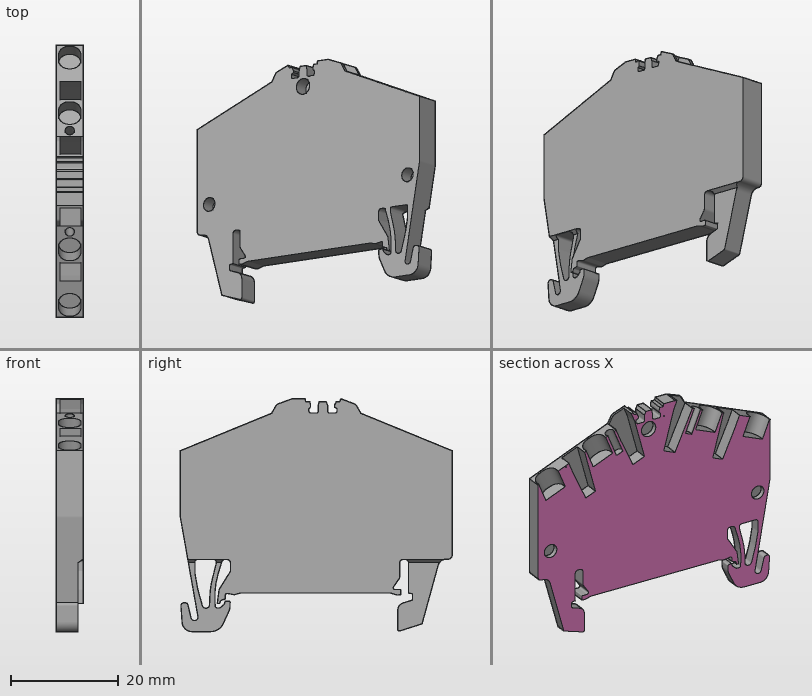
import cadquery as cq
import math

THICKNESS = 5.1
LENGTH = 50.5
HEIGHT = 43.25
BACK_X = -THICKNESS / 2
END_Y = LENGTH / 2

SHOULDER_END_Z = 33.6
SHOULDER_TOP_Y = 8.3
SHOULDER_ANGLE = math.radians(22.3)
SHOULDER_TOP_Z = SHOULDER_END_Z + (END_Y - SHOULDER_TOP_Y) * math.tan(SHOULDER_ANGLE)

CROWN_CORNER_Y = 7.35
CROWN_CORNER_Z = 42.2
CROWN_CORNER_RADIUS = 0.8
LEDGE_Z = 42.7
GROOVE_FLOOR_Z = 40.6
GROOVE_RADIUS = 0.35

BASE_Z = 7.15
FOOT_TOP_Z = 13.45
FOOT_THICKNESS = 4.1
FOOT_CHAMFER_HEIGHT = 0.6
SLOT_TOP_Z = 13.4
SLOT_RADIUS = 0.6

RECESS_DEPTH = 3.0
RECESSES = [
    (1.2, 38.8, 1.5),
    (22.5, 19.05, 1.3),
    (-22.5, 19.05, 1.3),
]

WIRE_HOLE_YS = (22.95, 12.65)
WIRE_HOLE_WIDTH = 4.2
WIRE_HOLE_LENGTH = 4.5
WIRE_HOLE_RADIUS = 1.85
WIRE_HOLE_DEPTH = 4.0

TEST_HOLE_Y = 9.4
TEST_HOLE_DIAMETER = 1.7
TEST_HOLE_DEPTH = 5.0

TOOL_POCKET_X = 0.12
TOOL_POCKET_WIDTH = 3.85
TOOL_POCKET_DEPTH = 9.0
TOOL_POCKET_OUTER_TAPER = math.radians(2.4)
TOOL_POCKET_INNER_TAPER = math.radians(7.3)
OUTER_POCKET = (15.15, 18.5, 0, 2.6)
FIXED_SIDE_CROWN_POCKET = (4.6, 8.25, 0.8, 2.6)
SPRING_SIDE_CROWN_POCKET = (4.6, 8.25, 0.8, 0)

CUT_CLEARANCE = 4.0


def rounded_outline(corners):
    """Closed YZ outline through (y, z, radius) corners, each rounded by a tangent arc."""
    count = len(corners)
    outline = cq.Workplane("YZ", origin=(BACK_X, 0, 0))
    for i in range(count):
        y, z, radius = corners[i]
        corner = cq.Vector(y, z, 0)
        before = cq.Vector(*corners[i - 1][:2], 0)
        after = cq.Vector(*corners[(i + 1) % count][:2], 0)
        to_before = (before - corner).normalized()
        to_after = (after - corner).normalized()
        half_angle = to_before.getAngle(to_after) / 2
        setback = radius / math.tan(half_angle)
        arc_start = corner + to_before * setback
        if i == 0:
            outline = outline.moveTo(arc_start.x, arc_start.y)
        else:
            outline = outline.lineTo(arc_start.x, arc_start.y)
        if radius > 0:
            bisector = (to_before + to_after).normalized()
            middle = corner + bisector * (radius / math.sin(half_angle) - radius)
            arc_end = corner + to_after * setback
            outline = outline.threePointArc((middle.x, middle.y), (arc_end.x, arc_end.y))
    return outline.close()


def housing():
    """Full-thickness plate: shoulders, crown, base and both rail feet."""
    crown = [
        (SHOULDER_TOP_Y, SHOULDER_TOP_Z, 0),
        (CROWN_CORNER_Y, CROWN_CORNER_Z, CROWN_CORNER_RADIUS),
        (4.6, HEIGHT, 0),
        (4.3, LEDGE_Z, 0),
        (3.7, LEDGE_Z, 0),
        (3.35, 42.0, 0),
        (3.35, 41.7, 0),
        (3.85, 41.4, 0),
        (3.85, GROOVE_FLOOR_Z, GROOVE_RADIUS),
        (2.15, GROOVE_FLOOR_Z, GROOVE_RADIUS),
        (2.15, 42.0, 0),
        (1.85, LEDGE_Z, 0),
        (0.5, LEDGE_Z, 0),
        (0.35, 42.0, 0),
        (0.35, GROOVE_FLOOR_Z, GROOVE_RADIUS),
        (-1.35, GROOVE_FLOOR_Z, GROOVE_RADIUS),
        (-1.35, 41.4, 0),
        (-1.05, 41.7, 0),
        (-1.05, 42.2, 0),
        (-1.2, LEDGE_Z, 0),
        (-1.95, LEDGE_Z, 0),
        (-2.05, HEIGHT, 0),
        (-4.5, HEIGHT, 0),
        (-CROWN_CORNER_Y, CROWN_CORNER_Z, CROWN_CORNER_RADIUS),
        (-SHOULDER_TOP_Y, SHOULDER_TOP_Z, 0),
    ]
    spring_foot = [
        (-END_Y, SHOULDER_END_Z, 0),
        (-END_Y, 21.3, 1.5),
        (-21.85, 2.1, SLOT_RADIUS),
        (-23.1, 2.1, SLOT_RADIUS),
        (-23.9, 5.4, SLOT_RADIUS),
        (-25.17, 5.4, SLOT_RADIUS),
        (-24.8, 0, 1.9),
        (-17.95, 0, 2.6),
        (-16.0, 4.2, 2.5),
        (-15.95, 5.7, 0.3),
        (-16.95, 5.7, 0.2),
        (-17.05, 5.15, 0.1),
        (-17.85, 4.45, 0.3),
        (-18.7, 4.45, 0.3),
        (-18.95, 8.2, 15.0),
        (-17.4, SLOT_TOP_Z, SLOT_RADIUS),
        (-15.95, SLOT_TOP_Z, SLOT_RADIUS),
        (-15.95, 11.2, 0.3),
        (-18.05, 7.85, 0.8),
        (-18.4, 5.2, 0.15),
        (-17.95, 5.2, 0.1),
        (-17.7, 5.8, 0.2),
        (-16.85, 6.1, 0.1),
        (-16.85, 7.15, 0.3),
        (-15.2, 6.85, 0.5),
        (-14.1, BASE_Z, 0),
    ]
    fixed_foot = [
        (13.8, BASE_Z, 0),
        (15.0, 6.8, 0.3),
        (15.7, 6.85, 0.1),
        (15.7, 7.85, 0.15),
        (14.05, 7.85, 0.3),
        (15.5, 10.0, 0.8),
        (15.5, SLOT_TOP_Z, SLOT_RADIUS),
        (17.1, SLOT_TOP_Z, SLOT_RADIUS),
        (17.1, 7.15, 0),
        (17.85, 7.05, 0.1),
        (17.85, 5.9, 0.2),
        (15.1, 5.05, 1.5),
        (15.1, 0, 0.35),
        (19.65, 1.45, 0.3),
        (22.95, FOOT_TOP_Z, 1.5),
        (END_Y, FOOT_TOP_Z, 0.8),
        (END_Y, SHOULDER_END_Z, 0),
    ]
    return rounded_outline(crown + spring_foot + fixed_foot).extrude(THICKNESS)


def spring_window():
    """Closed window between the spring arm and the outer arm of the spring foot."""
    corners = [
        (-18.6, SLOT_TOP_Z, 0.4),
        (-22.5, SLOT_TOP_Z, 0.4),
        (-22.5, 10.9, 1.0),
        (-21.97, 7.9, 6.0),
        (-21.0, 4.4, SLOT_RADIUS),
        (-19.85, 4.4, SLOT_RADIUS),
        (-19.7, 8.2, 15.0),
        (-18.6, 12.6, 0.4),
    ]
    return rounded_outline(corners).extrude(THICKNESS)


def foot_relief():
    """Space on the +X side of both feet, which are thinner than the housing."""
    spring_side = [
        (-16.7, FOOT_TOP_Z, 0),
        (-16.7, 11.3, 0),
        (-18.5, 7.5, 0),
        (-18.6, 5.0, 0),
        (-18.0, 4.8, 0),
        (-16.8, 5.85, 0),
        (-15.0, 6.3, 0),
        (-15.0, -CUT_CLEARANCE, 0),
        (-END_Y - CUT_CLEARANCE, -CUT_CLEARANCE, 0),
        (-END_Y - CUT_CLEARANCE, FOOT_TOP_Z, 0),
    ]
    fixed_side = [
        (16.3, FOOT_TOP_Z, 0),
        (16.3, 6.3, 0),
        (14.5, 6.3, 0),
        (14.5, -CUT_CLEARANCE, 0),
        (END_Y + CUT_CLEARANCE, -CUT_CLEARANCE, 0),
        (END_Y + CUT_CLEARANCE, FOOT_TOP_Z, 0),
    ]
    plan = rounded_outline(spring_side).extrude(THICKNESS)
    plan = plan.union(rounded_outline(fixed_side).extrude(THICKNESS))
    foot_face_x = BACK_X + FOOT_THICKNESS
    section = (
        cq.Workplane("XZ")
        .moveTo(foot_face_x, -CUT_CLEARANCE)
        .lineTo(foot_face_x, FOOT_TOP_Z - FOOT_CHAMFER_HEIGHT)
        .lineTo(-BACK_X, FOOT_TOP_Z)
        .lineTo(-BACK_X, -CUT_CLEARANCE)
        .close()
        .extrude(END_Y + CUT_CLEARANCE, both=True)
    )
    return plan.intersect(section)


def recess(y, z, radius):
    """Blind round recess in the -X face."""
    return cq.Workplane("YZ", origin=(BACK_X, y, z)).circle(radius).extrude(RECESS_DEPTH)


def shoulder_plane(y):
    """Workplane on the +Y shoulder; its local y runs up the slope and its normal points out."""
    z = SHOULDER_END_Z + (END_Y - y) * math.tan(SHOULDER_ANGLE)
    normal = (0, math.sin(SHOULDER_ANGLE), math.cos(SHOULDER_ANGLE))
    return cq.Workplane(cq.Plane(origin=(0, y, z), xDir=(-1, 0, 0), normal=normal))


def wire_hole(y):
    """Blind round-cornered hole square to the shoulder."""
    outline = cq.Sketch().rect(WIRE_HOLE_WIDTH, WIRE_HOLE_LENGTH).vertices().fillet(WIRE_HOLE_RADIUS)
    return shoulder_plane(y).placeSketch(outline).extrude(-WIRE_HOLE_DEPTH)


def test_hole():
    """Blind round hole square to the shoulder."""
    return shoulder_plane(TEST_HOLE_Y).circle(TEST_HOLE_DIAMETER / 2).extrude(-TEST_HOLE_DEPTH)


def tool_pocket(inner_y, outer_y, inner_entry, outer_entry):
    """Blind pocket in the +Y shoulder; each side wall is straight at first, then tapers inward."""
    mouth = (outer_y - inner_y) / math.cos(SHOULDER_ANGLE)
    inner_shift = (TOOL_POCKET_DEPTH - inner_entry) * math.tan(TOOL_POCKET_INNER_TAPER)
    outer_shift = (TOOL_POCKET_DEPTH - outer_entry) * math.tan(TOOL_POCKET_OUTER_TAPER)
    profile = [
        (0, CUT_CLEARANCE),
        (0, -inner_entry),
        (inner_shift, -TOOL_POCKET_DEPTH),
        (mouth - outer_shift, -TOOL_POCKET_DEPTH),
        (mouth, -outer_entry),
        (mouth, CUT_CLEARANCE),
    ]
    mouth_z = SHOULDER_END_Z + (END_Y - inner_y) * math.tan(SHOULDER_ANGLE)
    side = cq.Plane(
        origin=(TOOL_POCKET_X - TOOL_POCKET_WIDTH / 2, inner_y, mouth_z),
        xDir=(0, math.cos(SHOULDER_ANGLE), -math.sin(SHOULDER_ANGLE)),
        normal=(1, 0, 0),
    )
    return cq.Workplane(side).polyline(profile).close().extrude(TOOL_POCKET_WIDTH)


result = housing().cut(spring_window()).cut(foot_relief())

for recess_y, recess_z, recess_radius in RECESSES:
    result = result.cut(recess(recess_y, recess_z, recess_radius))

shared_openings = [wire_hole(y) for y in WIRE_HOLE_YS] + [test_hole(), tool_pocket(*OUTER_POCKET)]
for opening in shared_openings:
    result = result.cut(opening).cut(opening.mirror("XZ"))

result = result.cut(tool_pocket(*FIXED_SIDE_CROWN_POCKET))
result = result.cut(tool_pocket(*SPRING_SIDE_CROWN_POCKET).mirror("XZ"))